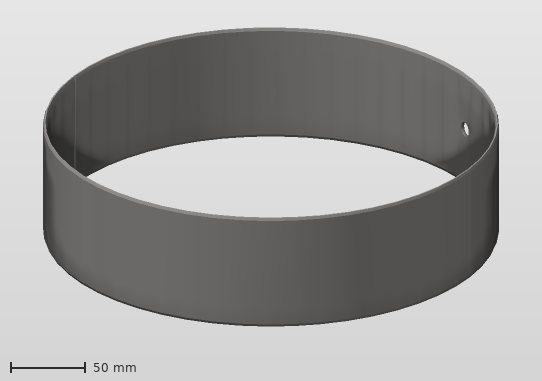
import cadquery as cq
import math

outer_diameter = 305.0
outer_radius = outer_diameter / 2
height = 80.0
wall = 2.5
chamfer_height = 1.8
chamfer_depth = 0.75
slit_width = 2.5
hole_diameter = 10.0
hole_angle = 59.0


def make_band():
    """Thin ring with steep chamfers on the inner and outer rims at both ends."""
    ring = cq.Workplane("XY").circle(outer_radius).circle(outer_radius - wall).extrude(height)
    return ring.faces("<Z or >Z").chamfer(chamfer_height, chamfer_depth)


def make_slit():
    """Full-height split through the -X wall, with one face on the XZ plane."""
    return cq.Workplane("XY").box(outer_diameter, slit_width, height, centered=False).translate(
        (-outer_diameter, 0, 0)
    )


def make_hole():
    """Radial hole through one wall at mid height."""
    angle = math.radians(hole_angle)
    direction = cq.Vector(math.cos(angle), math.sin(angle), 0)
    start = cq.Vector(0, 0, height / 2)
    return cq.Solid.makeCylinder(hole_diameter / 2, outer_diameter, start, direction)


result = make_band().cut(make_slit()).cut(make_hole())